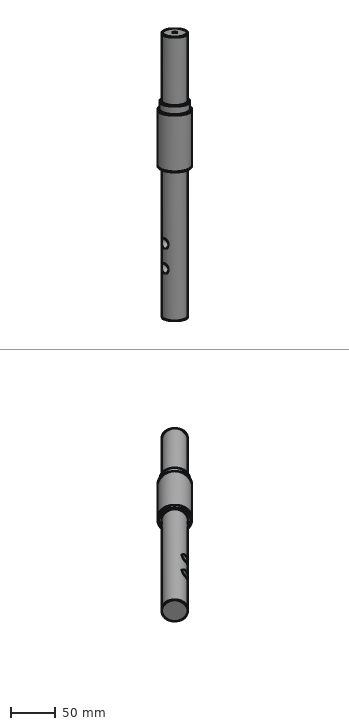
import cadquery as cq

total_length = 342.0
shaft_diameter = 30.0
shaft_top_chamfer = 1.0
shaft_bottom_chamfer_length = 1.0
shaft_bottom_chamfer_width = 0.35

top_journal_length = 82.0
shoulder_diameter = 35.0
shoulder_length = 10.0
shoulder_chamfer = 1.0
collar_diameter = 39.5
collar_length = 70.0
collar_top_chamfer = 1.0
collar_bottom_chamfer = 2.0

cross_hole_diameter = 12.0
cross_hole_count = 2
cross_hole_spacing = 30.0
lowest_cross_hole_height = 61.5

centre_hole_diameter = 5.0
centre_hole_depth = 10.0

shoulder_top = total_length - top_journal_length
collar_top = shoulder_top - shoulder_length
collar_bottom = collar_top - collar_length


def cylinder(diameter, bottom, top):
    """Cylinder on the shaft axis between two heights."""
    return cq.Workplane("XY").workplane(offset=bottom).circle(diameter / 2).extrude(top - bottom)


def make_shaft():
    """Full-length shaft, chamfered at both ends."""
    shaft = cylinder(shaft_diameter, 0, total_length)
    shaft = shaft.faces(">Z").chamfer(shaft_top_chamfer)
    return shaft.faces("<Z").chamfer(shaft_bottom_chamfer_length, shaft_bottom_chamfer_width)


def make_shoulder():
    """Short step above the collar, chamfered at its top edge."""
    shoulder = cylinder(shoulder_diameter, collar_bottom, shoulder_top)
    return shoulder.faces(">Z").chamfer(shoulder_chamfer)


def make_collar():
    """Largest step, with a wider chamfer at its bottom edge than at its top edge."""
    collar = cylinder(collar_diameter, collar_bottom, collar_top)
    collar = collar.faces(">Z").chamfer(collar_top_chamfer)
    return collar.faces("<Z").chamfer(collar_bottom_chamfer)


def make_cross_hole(height):
    """Cutter passing right through the shaft along Y."""
    hole = cq.Workplane("XZ").center(0, height).circle(cross_hole_diameter / 2)
    return hole.extrude(shaft_diameter, both=True)


def make_centre_hole():
    """Flat-bottomed blind hole in the top end."""
    return cylinder(centre_hole_diameter, total_length - centre_hole_depth, total_length)


result = make_shaft().union(make_shoulder()).union(make_collar())
for hole_index in range(cross_hole_count):
    hole_height = lowest_cross_hole_height + hole_index * cross_hole_spacing
    result = result.cut(make_cross_hole(hole_height))
result = result.cut(make_centre_hole())